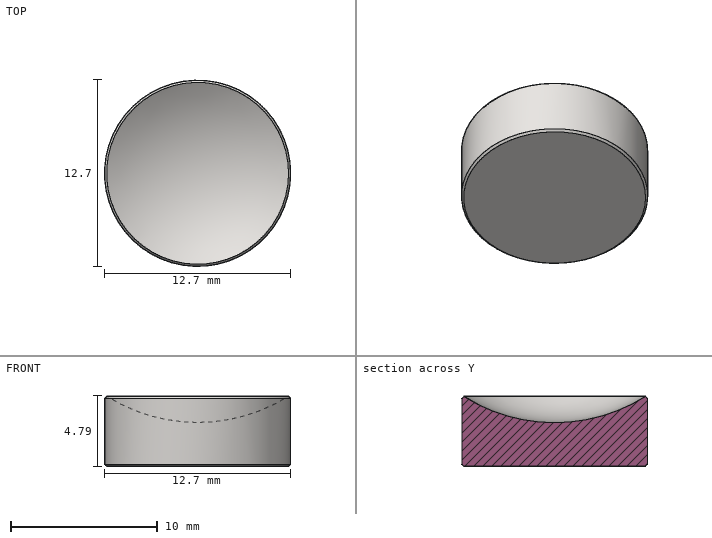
import cadquery as cq

diameter = 12.7
edge_thickness = 4.79
centre_thickness = 3.0
bevel = 0.15

radius = diameter / 2
dish_rim_radius = radius - bevel
dish_depth = edge_thickness - centre_thickness
dish_radius = (dish_rim_radius**2 + dish_depth**2) / (2 * dish_depth)


def make_disc():
    """Cylindrical blank with its top and bottom edges bevelled."""
    disc = cq.Workplane("XY").circle(radius).extrude(edge_thickness)
    return disc.faces("<Z or >Z").edges().chamfer(bevel)


def make_dish_cutter():
    """Sphere whose lowest cap forms the concave top face.

    Its poles lie along Y, away from the dish.
    """
    sphere_centre = (0, 0, centre_thickness + dish_radius)
    polar_plane = cq.Plane(origin=sphere_centre, xDir=(0, 0, 1), normal=(0, 1, 0))
    return cq.Workplane(polar_plane).sphere(dish_radius)


result = make_disc().cut(make_dish_cutter())